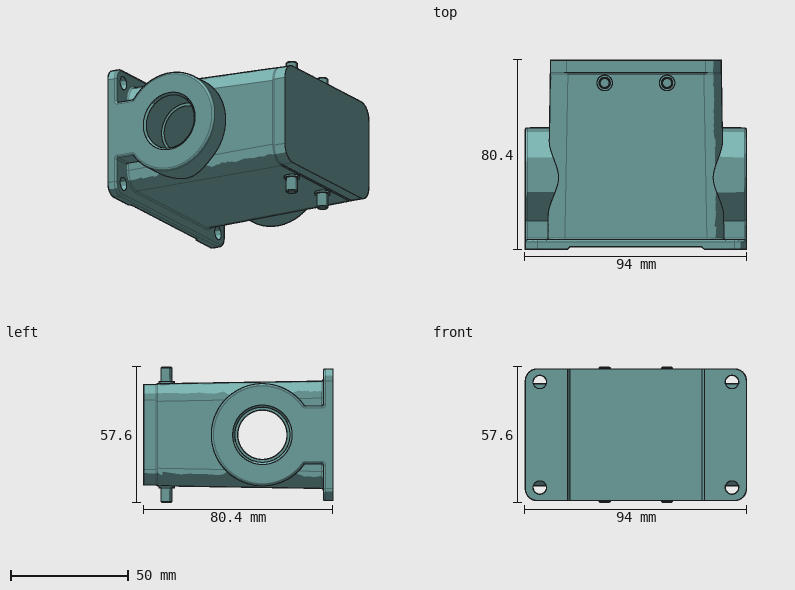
import cadquery as cq
import math

plate_width = 94.0
plate_height = 56.0
plate_thickness = 4.1
plate_corner_radius = 5.2
mount_hole_diameter = 5.6
mount_hole_x = 40.8
mount_hole_z = 22.4
relief_depth = 1.0
relief_half_width = 28.0

rim_radius = 0.9
foot_fillet = 0.7

total_length = 80.4
body_base_half_x = 37.4
body_base_half_z = 22.8
body_end_half_x = 36.4
body_end_half_z = 21.7
body_end_y = 74.45
body_base_corner_radius = 7.2
body_end_corner_radius = 7.5

lid_start_y = 75.1
lid_half_x = 36.3
lid_half_z = 21.4
lid_corner_radius = 6.8

boss_radius = 21.7
boss_y = 30.0
neck_half_height = 12.3
neck_end_y = boss_y - math.sqrt(boss_radius**2 - neck_half_height**2)
bore_diameter = 20.9
counterbore_diameter = 23.4
counterbore_depth = 14.1
counterbore_chamfer = 0.9

peg_tip_z = 28.8
peg_diameter = 4.8
peg_tip_chamfer = 0.5
peg_x = 13.3
peg_y = 70.7
collar_diameter = 6.6
collar_top_z = 22.6


def section_wire(y, half_x, half_z, radius):
    """Rounded rectangle around the Y axis, in the plane at y."""
    sketch = cq.Sketch().rect(2 * half_x, 2 * half_z).vertices().fillet(radius)
    slab = cq.Workplane("XZ", origin=(0, y, 0)).placeSketch(sketch).extrude(-0.9)
    return slab.faces("<Y").wires().val()


def loft_between(start, end):
    """Straight-sided solid between two (y, half_x, half_z, radius) sections."""
    wires = [section_wire(*section) for section in (start, end)]
    return cq.Workplane(cq.Solid.makeLoft(wires, True))


def make_plate():
    plate = cq.Workplane("XZ").rect(plate_width, plate_height).extrude(-plate_thickness)
    return plate.edges("|Y").fillet(plate_corner_radius)


def make_body():
    base = (plate_thickness, body_base_half_x, body_base_half_z, body_base_corner_radius)
    end = (body_end_y, body_end_half_x, body_end_half_z, body_end_corner_radius)
    lid_start = (lid_start_y, lid_half_x, lid_half_z, lid_corner_radius)
    lid_end = (total_length, lid_half_x, lid_half_z, lid_corner_radius)
    body = loft_between(base, end)
    body = body.union(loft_between(end, lid_start))
    return body.union(loft_between(lid_start, lid_end))


def make_cable_entries():
    """Keyhole-shaped bar spanning the full width: a round boss on a neck."""
    neck_start_y = plate_thickness / 2
    return (
        cq.Workplane("YZ")
        .moveTo(neck_start_y, -neck_half_height)
        .lineTo(neck_end_y, -neck_half_height)
        .threePointArc((boss_y + boss_radius, 0), (neck_end_y, neck_half_height))
        .lineTo(neck_start_y, neck_half_height)
        .close()
        .extrude(plate_width / 2, both=True)
    )


def make_bore():
    """Through bore with a chamfered counterbore at each end, as one turned tool."""
    half_length = plate_width / 2
    shoulder_x = half_length - counterbore_depth
    counterbore_radius = counterbore_diameter / 2
    mouth_radius = counterbore_radius + counterbore_chamfer
    half_bore = (
        cq.Workplane("XY")
        .moveTo(0, 0)
        .lineTo(0, bore_diameter / 2)
        .lineTo(shoulder_x, bore_diameter / 2)
        .lineTo(shoulder_x, counterbore_radius)
        .lineTo(half_length - counterbore_chamfer, counterbore_radius)
        .lineTo(half_length, mouth_radius)
        .lineTo(half_length, 0)
        .close()
        .revolve(360, (0, 0), (1, 0))
    )
    return half_bore.union(half_bore.mirror("YZ")).translate((0, boss_y, 0))


def make_pegs():
    """Four pegs with collars, two on each wide face."""
    peg = cq.Workplane("XY").circle(peg_diameter / 2).extrude(peg_tip_z)
    peg = peg.faces(">Z").chamfer(peg_tip_chamfer)
    collar = cq.Workplane("XY").circle(collar_diameter / 2).extrude(collar_top_z)
    core = cq.Workplane("XY").box(plate_width, total_length, body_end_half_z)
    peg = peg.union(collar).cut(core).translate((peg_x, peg_y, 0))
    pair = peg.union(peg.mirror("YZ"))
    return pair.union(pair.mirror("XY"))


def make_mount_holes():
    hole_spacing = (2 * mount_hole_x, 2 * mount_hole_z)
    return (
        cq.Workplane("XZ")
        .rect(*hole_spacing, forConstruction=True)
        .vertices()
        .circle(mount_hole_diameter / 2)
        .extrude(-plate_thickness)
    )


def make_relief():
    """Shallow channel across the plate's outer face, with 45 degree sides."""
    mouth_half_width = relief_half_width + relief_depth
    return (
        cq.Workplane("XY")
        .polyline([
            (-mouth_half_width, 0),
            (-relief_half_width, relief_depth),
            (relief_half_width, relief_depth),
            (mouth_half_width, 0),
        ])
        .close()
        .extrude(plate_height / 2, both=True)
    )


def edges_near_level(solid, y):
    """Edges centred at height y, leaving out those along the rim of the plate."""
    reach_x = plate_width / 2 - rim_radius
    reach_z = body_base_half_z + foot_fillet
    tolerance = 0.01
    return solid.edges(
        cq.selectors.BoxSelector((-reach_x, y - tolerance, -reach_z), (reach_x, y + tolerance, reach_z))
    )


housing = make_plate().union(make_cable_entries()).union(make_body())

housing = edges_near_level(housing, plate_thickness).fillet(foot_fillet)
housing = edges_near_level(housing, neck_end_y).edges("|X").fillet(foot_fillet)

plate_top_edge = cq.selectors.NearestToPointSelector((0, plate_thickness, plate_height / 2))
housing = housing.edges(plate_top_edge).fillet(rim_radius)

result = housing.union(make_pegs()).cut(make_bore()).cut(make_mount_holes()).cut(make_relief())